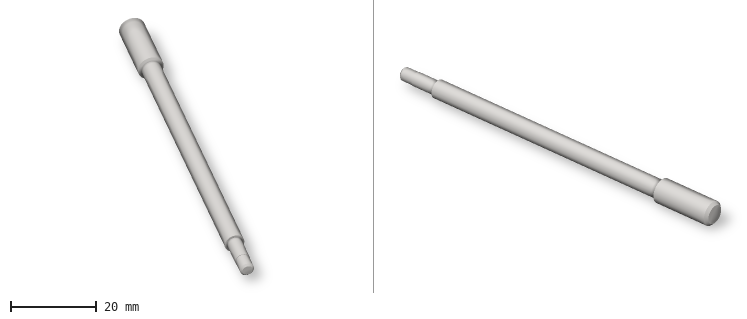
import cadquery as cq
import math

length = 92.7

head_diameter = 6.3
head_length = 16.2
front_chamfer = 0.7
rear_taper_angle = 30

shaft_diameter = 4.7
tail_length = 10.3

neck_diameter = 3.6
tip_diameter = 3.4
tip_length = 3.9
tip_chamfer = 0.5

head_radius = head_diameter / 2
shaft_radius = shaft_diameter / 2
neck_radius = neck_diameter / 2
tip_radius = tip_diameter / 2
shaft_end = length - tail_length
tip_start = length - tip_length
rear_taper_length = (head_radius - shaft_radius) * math.tan(math.radians(rear_taper_angle))

profile = (
    cq.Workplane("XY")
    .lineTo(0, head_radius - front_chamfer)
    .lineTo(front_chamfer, head_radius)
    .lineTo(head_length - rear_taper_length, head_radius)
    .lineTo(head_length, shaft_radius)
    .lineTo(shaft_end, shaft_radius)
    .lineTo(shaft_end, neck_radius)
    .lineTo(tip_start, neck_radius)
    .lineTo(tip_start, tip_radius)
    .lineTo(length - tip_chamfer, tip_radius)
    .lineTo(length, tip_radius - tip_chamfer)
    .lineTo(length, 0)
    .close()
)

result = profile.revolve(360, (0, 0, 0), (1, 0, 0)).translate((-length / 2, 0, 0))